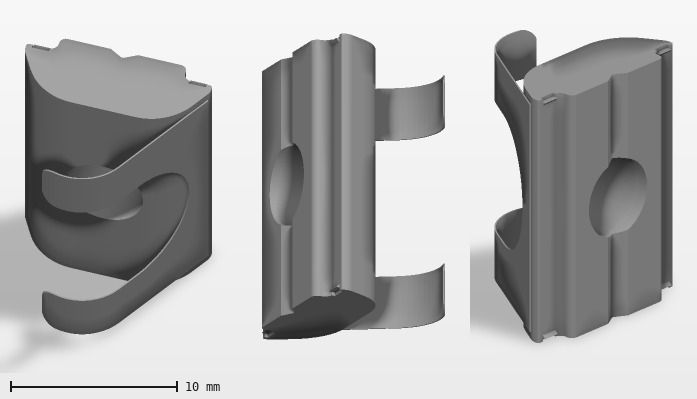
import cadquery as cq
import math

length = 16.0
width = 11.6
half_width = width / 2
body_depth = 4.6
flank_angle = math.radians(60)
bottom_flat_half = 2.0
bottom_radius = 3.52
flank_radius = 0.83
ledge_depth = 1.0
ledge_radius = 0.15
neck_half_width = 3.95
neck_radius = 0.4
neck_root_radius = 0.48
groove_half_width = 0.85
groove_angle = math.radians(30)
groove_radius = 0.24
hole_diameter = 5.0

tooth_inner_x = 4.35
tooth_width = 1.07
tooth_back = 1.22
tooth_front = 0.8
tooth_drop = 0.22

spring_thickness = 0.1
spring_end_gap = 0.51
spring_bottom = 9.8
curl_radius = 3.2
curl_tip_angle = math.radians(33)
prong_width = 3.23
tip_radius = 0.96
window_center_x = 2.85

bottom_corner_x = bottom_flat_half + bottom_radius * math.tan(flank_angle / 2)
flank_top_y = -body_depth + (half_width - bottom_corner_x) * math.tan(flank_angle)
groove_depth = groove_half_width * math.tan(groove_angle)


def make_body():
    half_outline = [
        (groove_half_width, 0),
        (neck_half_width, 0),
        (neck_half_width, -ledge_depth),
        (half_width, -ledge_depth),
        (half_width, flank_top_y),
        (bottom_corner_x, -body_depth),
    ]
    mirrored = [(-x, y) for x, y in reversed(half_outline)]
    outline = [(0, -groove_depth)] + half_outline + mirrored
    body = cq.Workplane("XY").polyline(outline).close().extrude(length / 2, both=True)

    corner_radii = [
        (neck_half_width, 0, neck_radius),
        (neck_half_width, -ledge_depth, neck_root_radius),
        (half_width, -ledge_depth, ledge_radius),
        (half_width, flank_top_y, flank_radius),
        (bottom_corner_x, -body_depth, bottom_radius),
    ]
    for x, y, radius in corner_radii:
        for side in (-1, 1):
            nearest = cq.selectors.NearestToPointSelector((side * x, y, 0))
            body = body.edges("|Z").edges(nearest).fillet(radius)
    groove_root = cq.selectors.NearestToPointSelector((0, -groove_depth, 0))
    return body.edges("|Z").edges(groove_root).fillet(groove_radius)


def stake_tooth(body, side, end):
    """Notch the ledge edge at one end and push the metal out as a wedge."""
    floor_z = length / 2 - tooth_drop
    first_x = tooth_inner_x if side > 0 else -tooth_inner_x - tooth_width
    across = cq.Workplane("YZ").workplane(offset=first_x)
    notch = (
        across.moveTo(-tooth_back, end * floor_z)
        .lineTo(-tooth_front, end * floor_z)
        .lineTo(-tooth_front, end * length / 2)
        .lineTo(-tooth_back, end * length / 2)
        .close()
        .extrude(tooth_width)
    )
    wedge_height = tooth_back - tooth_front
    wedge = (
        across.moveTo(-tooth_front, end * floor_z)
        .lineTo(-tooth_back, end * floor_z)
        .lineTo(-tooth_back, end * (floor_z - wedge_height))
        .close()
        .extrude(tooth_width)
    )
    return body.cut(notch).union(wedge)


def make_spring():
    down = (-math.cos(flank_angle), -math.sin(flank_angle))
    outward = (math.sin(flank_angle), -math.cos(flank_angle))
    top_offset = flank_radius * math.tan((math.pi / 2 - flank_angle) / 2)
    top_inner = (half_width + top_offset * down[0], flank_top_y + top_offset * down[1])
    top_outer = tuple(p + spring_thickness * n for p, n in zip(top_inner, outward))

    center_y = curl_radius - spring_bottom
    tangent_y = center_y + curl_radius * outward[1]
    tangent_x = top_outer[0] + (tangent_y - top_outer[1]) / math.tan(flank_angle)
    center_x = tangent_x - curl_radius * outward[0]
    inner_radius = curl_radius - spring_thickness

    def curl_point(radius, angle):
        """Point on the curl at an angle from straight down, positive toward +X."""
        return center_x + radius * math.sin(angle), center_y - radius * math.cos(angle)

    strip = (
        cq.Workplane("XY")
        .moveTo(*top_inner)
        .lineTo(*top_outer)
        .lineTo(*curl_point(curl_radius, flank_angle))
        .threePointArc(curl_point(curl_radius, 0), curl_point(curl_radius, -curl_tip_angle))
        .lineTo(*curl_point(inner_radius, -curl_tip_angle))
        .threePointArc(curl_point(inner_radius, 0), curl_point(inner_radius, flank_angle))
        .close()
        .extrude(length / 2 - spring_end_gap, both=True)
    )

    window_half = length / 2 - spring_end_gap - prong_width
    window_y = top_outer[1] + (window_center_x - top_outer[0]) * math.tan(flank_angle)
    leaf_plane = cq.Plane(
        origin=(window_center_x, window_y, 0),
        xDir=(down[0], down[1], 0),
        normal=(outward[0], outward[1], 0),
    )
    round_end = cq.Workplane(leaf_plane).circle(window_half).extrude(2 * spring_thickness, both=True)
    opening = (
        cq.Workplane("XY")
        .box(window_center_x + half_width, spring_bottom, 2 * window_half, centered=(False, False, True))
        .translate((-half_width, -spring_bottom, 0))
    )
    strip = strip.cut(round_end).cut(opening)

    tip_x = curl_point(curl_radius, -curl_tip_angle)[0]
    reach = half_width - tip_x
    prong_z = window_half + prong_width / 2
    tips = (
        cq.Workplane("XZ")
        .pushPoints([(tip_x + reach / 2, prong_z), (tip_x + reach / 2, -prong_z)])
        .rect(reach, prong_width)
        .extrude(spring_bottom)
        .edges("|Y and <X")
        .fillet(tip_radius)
    )
    leaf_zone = (
        cq.Workplane("XY")
        .box(half_width - center_x, spring_bottom, length, centered=(False, False, True))
        .translate((center_x, -spring_bottom, 0))
    )
    return strip.intersect(tips.union(leaf_zone))


def make_hole():
    return cq.Workplane("XZ").circle(hole_diameter / 2).extrude(body_depth)


nut = make_body().cut(make_hole())
for side in (-1, 1):
    for end in (-1, 1):
        nut = stake_tooth(nut, side, end)

result = nut.union(make_spring())